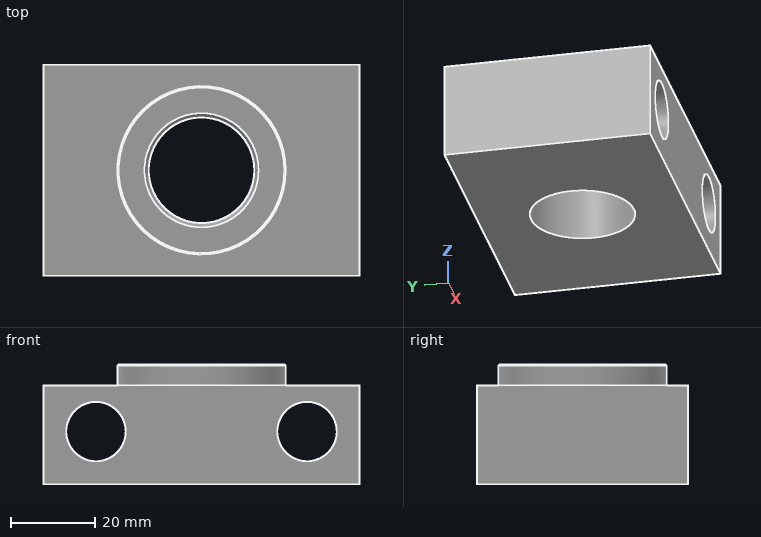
import cadquery as cq

block_length = 75.0
block_width = 50.0
total_height = 28.5
flange_height = 5.0
block_height = total_height - flange_height

flange_diameter = 40.0
flange_chamfer = 0.4
bore_diameter = 25.0
bore_chamfer = 1.05

cross_hole_diameter = 14.0
cross_hole_spacing = 50.0
cross_hole_height = 12.5


def make_block():
    return cq.Workplane("XY").box(
        block_length, block_width, block_height, centered=(True, True, False)
    )


def make_flange():
    flange = (
        cq.Workplane("XY")
        .workplane(offset=block_height)
        .circle(flange_diameter / 2)
        .extrude(flange_height)
    )
    return flange.faces(">Z").edges().chamfer(flange_chamfer)


def make_bore():
    """Through bore that widens into a 45 degree lead-in at the top."""
    radius = bore_diameter / 2
    profile = [
        (0, 0),
        (radius, 0),
        (radius, total_height - bore_chamfer),
        (radius + bore_chamfer, total_height),
        (0, total_height),
    ]
    return cq.Workplane("XZ").polyline(profile).close().revolve(360, (0, 0), (0, 1))


def make_cross_holes():
    half_spacing = cross_hole_spacing / 2
    return (
        cq.Workplane("XZ")
        .pushPoints([(side * half_spacing, cross_hole_height) for side in (-1, 1)])
        .circle(cross_hole_diameter / 2)
        .extrude(block_width / 2, both=True)
    )


result = make_block().union(make_flange()).cut(make_bore()).cut(make_cross_holes())